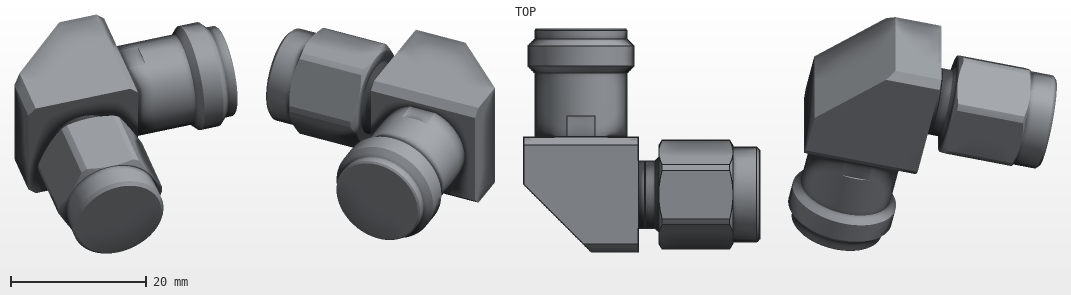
import cadquery as cq
import math


BLOCK_SIDE = 17.0
BLOCK_HALF = BLOCK_SIDE / 2
BLOCK_CHAMFER_Y = 1.15
BLOCK_CHAMFER_Z = 1.1
DIAGONAL_LEG = 10.03

SPIGOT_RADIUS = 4.0
SPIGOT_DEPTH = 0.9
SLIT_WIDTH = 0.1

JACK_LENGTH = 16.0
JACK_RADIUS = 6.8
JACK_END_CHAMFER = 0.25
COLLAR_RADIUS = 7.85
COLLAR_STEP = COLLAR_RADIUS - JACK_RADIUS
COLLAR_FRONT = JACK_LENGTH - 1.5
COLLAR_BACK = JACK_LENGTH - 6.55
FLAT_DISTANCE = 6.5
FLAT_END = 3.15

BOSS_LENGTH = 0.9
NECK_RADIUS = 5.0
FLARE_START = 2.48
HEX_START = 3.0
HEX_END = 13.98
PLUG_LENGTH = 17.95
HEX_APOTHEM = 7.2
HEX_CORNER_RADIUS = 8.05
HEX_CHAMFER_ANGLE = 30
HEX_TURN = 30
HEX_CHAMFER_LENGTH = (HEX_CORNER_RADIUS - HEX_APOTHEM) * math.tan(math.radians(HEX_CHAMFER_ANGLE))
NOSE_RADIUS = 7.02
NOSE_CHAMFER = 0.5

JACK_PLANE = cq.Plane(origin=(0, BLOCK_HALF, 0), xDir=(-1, 0, 0), normal=(0, 0, -1))
PLUG_PLANE = cq.Plane(origin=(BLOCK_HALF, 0, 0), xDir=(0, -1, 0), normal=(0, 0, 1))


def turned(plane, profile):
    """Revolve (radius, distance) points about the connector axis of the plane."""
    return cq.Workplane(plane).polyline(profile).close().revolve(360, (0, 0, 0), (0, 1, 0))


def cylinder(plane, radius, start, end):
    return turned(plane, [(0, start), (radius, start), (radius, end), (0, end)])


def make_block():
    half = BLOCK_HALF
    inner_y = half - BLOCK_CHAMFER_Y
    inner_z = half - BLOCK_CHAMFER_Z
    cross_section = [
        (-half, -inner_z),
        (-inner_y, -half),
        (inner_y, -half),
        (half, -inner_z),
        (half, inner_z),
        (inner_y, half),
        (-inner_y, half),
        (-half, inner_z),
    ]
    block = cq.Workplane("YZ", origin=(-half, 0, 0)).polyline(cross_section).close().extrude(BLOCK_SIDE)

    corner = (
        cq.Workplane("XY", origin=(0, 0, -half))
        .polyline([(-half, -half), (-half + DIAGONAL_LEG, -half), (-half, -half + DIAGONAL_LEG)])
        .close()
        .extrude(BLOCK_SIDE)
    )
    block = block.cut(corner)

    block = block.union(cylinder(PLUG_PLANE, NECK_RADIUS, 0, BOSS_LENGTH))
    block = block.cut(cylinder(PLUG_PLANE, SPIGOT_RADIUS, BOSS_LENGTH - SPIGOT_DEPTH, BOSS_LENGTH))
    return block.cut(cylinder(JACK_PLANE, SPIGOT_RADIUS, -SPIGOT_DEPTH, 0))


def make_jack():
    jack = turned(JACK_PLANE, [
        (0, -SPIGOT_DEPTH),
        (SPIGOT_RADIUS, -SPIGOT_DEPTH),
        (SPIGOT_RADIUS, SLIT_WIDTH),
        (JACK_RADIUS, SLIT_WIDTH),
        (JACK_RADIUS, COLLAR_BACK),
        (COLLAR_RADIUS, COLLAR_BACK + COLLAR_STEP),
        (COLLAR_RADIUS, COLLAR_FRONT - COLLAR_STEP),
        (JACK_RADIUS, COLLAR_FRONT),
        (JACK_RADIUS, JACK_LENGTH - JACK_END_CHAMFER),
        (JACK_RADIUS - JACK_END_CHAMFER, JACK_LENGTH),
        (0, JACK_LENGTH),
    ])

    flat_depth = JACK_RADIUS - FLAT_DISTANCE
    cutter = cq.Workplane("XY").box(2 * JACK_RADIUS, FLAT_END, flat_depth)
    flat_y = BLOCK_HALF + FLAT_END / 2
    for side in (1, -1):
        jack = jack.cut(cutter.translate((0, flat_y, side * (FLAT_DISTANCE + flat_depth / 2))))
    return jack


def make_plug():
    flare_end_radius = NECK_RADIUS + HEX_START - FLARE_START
    neck = turned(PLUG_PLANE, [
        (0, BOSS_LENGTH - SPIGOT_DEPTH),
        (SPIGOT_RADIUS, BOSS_LENGTH - SPIGOT_DEPTH),
        (SPIGOT_RADIUS, BOSS_LENGTH + SLIT_WIDTH),
        (NECK_RADIUS, BOSS_LENGTH + SLIT_WIDTH),
        (NECK_RADIUS, FLARE_START),
        (flare_end_radius, HEX_START),
        (0, HEX_START),
    ])

    hexagon = (
        cq.Workplane("YZ", origin=(BLOCK_HALF + HEX_START, 0, 0))
        .polygon(6, 2 * HEX_APOTHEM, circumscribed=True)
        .extrude(HEX_END - HEX_START)
        .rotate((0, 0, 0), (1, 0, 0), HEX_TURN)
    )
    envelope = turned(PLUG_PLANE, [
        (0, HEX_START),
        (HEX_APOTHEM, HEX_START),
        (HEX_CORNER_RADIUS, HEX_START + HEX_CHAMFER_LENGTH),
        (HEX_CORNER_RADIUS, HEX_END - HEX_CHAMFER_LENGTH),
        (HEX_APOTHEM, HEX_END),
        (0, HEX_END),
    ])

    nose = turned(PLUG_PLANE, [
        (0, HEX_END),
        (NOSE_RADIUS, HEX_END),
        (NOSE_RADIUS, PLUG_LENGTH - NOSE_CHAMFER),
        (NOSE_RADIUS - NOSE_CHAMFER, PLUG_LENGTH),
        (0, PLUG_LENGTH),
    ])
    return neck.union(hexagon.intersect(envelope)).union(nose)


block = make_block()
jack = make_jack()
plug = make_plug()
result = cq.Compound.makeCompound([block.solids().val(), jack.solids().val(), plug.solids().val()])